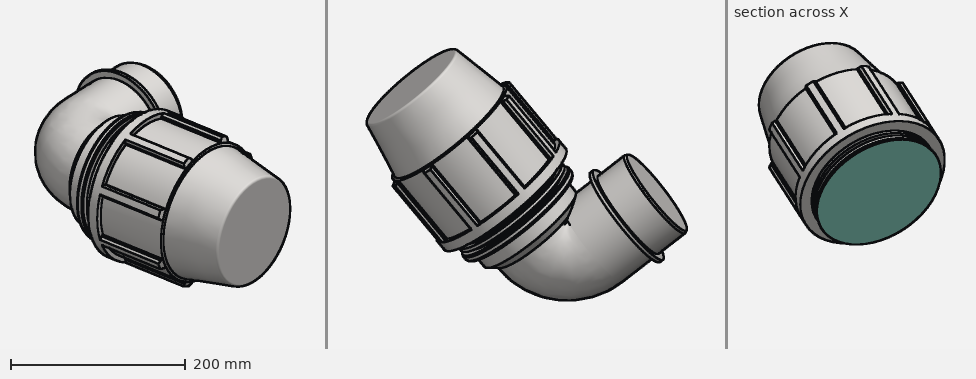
import cadquery as cq
import math

pipe_radius = 113.0 / 2
bend_radius = 45.0
pipe_end = 140.0
pipe_chamfer_depth = 1.53
pipe_chamfer_length = 3.0
pipe_ring_radius = 130.0 / 2
pipe_ring_start = 93.2
pipe_ring_width = 4.7

neck_end = 47.5
body_start = 57.5
body_radius = 135.5 / 2
lead_collar_radius = 157.5 / 2
lead_collar_start = 76.0
lead_collar_width = 9.0
lead_collar_chamfer = 2.0
lead_collar_chamfer_depth = 1.0
thread_collar_radius = 153.0 / 2
thread_collar_start = 89.0
thread_collar_width = 4.7
thread_collar_pitch = 9.0
thread_collar_count = 2

flange_radius = 181.0 / 2
flange_start = 102.7
flange_end = 116.0
nut_radius = 84.0
nut_end = 205.5
nut_end_chamfer_length = 1.0
taper_start_radius = 80.7
taper_end_radius = 66.8
nose_end = 339 - pipe_ring_radius
nose_rounding = 3.5

rib_count = 8
rib_crest_width = 9.5
rib_base_width = 14.0
rib_bevel_depth = 4.0
rib_end_slope = 3.7
rib_root_radius = nut_radius - 3.5


def cylinder_x(start, length, radius):
    return cq.Workplane("YZ", origin=(start, 0, 0)).circle(radius).extrude(length)


def cylinder_y(start, length, radius):
    return cq.Workplane("XZ", origin=(0, start, 0)).circle(radius).extrude(-length)


def make_pipe():
    """Straight socket with a lead-in chamfer and a thin stop ring."""
    shoulder = pipe_end - pipe_chamfer_length
    pipe = (
        cq.Workplane("XY")
        .moveTo(0, bend_radius)
        .lineTo(pipe_radius, bend_radius)
        .lineTo(pipe_radius, shoulder)
        .lineTo(pipe_radius - pipe_chamfer_depth, pipe_end)
        .lineTo(0, pipe_end)
        .close()
        .revolve(360, (0, 0, 0), (0, 1, 0))
    )
    return pipe.union(cylinder_y(pipe_ring_start, pipe_ring_width, pipe_ring_radius))


def make_bend():
    """Quarter turn of the pipe section, cut off at the turning axis."""
    axis_half_chord = math.sqrt(pipe_radius**2 - bend_radius**2)
    return (
        cq.Workplane("XZ", origin=(0, bend_radius, 0))
        .moveTo(bend_radius, -axis_half_chord)
        .threePointArc((-pipe_radius, 0), (bend_radius, axis_half_chord))
        .close()
        .revolve(90, (bend_radius, 0, 0), (bend_radius, 1, 0))
    )


def make_body():
    """Neck, conical shoulder and body, with one chamfered and several plain collars."""
    body = (
        cq.Workplane("XY")
        .moveTo(bend_radius, 0)
        .lineTo(bend_radius, pipe_radius)
        .lineTo(neck_end, pipe_radius)
        .lineTo(body_start, body_radius)
        .lineTo(flange_end, body_radius)
        .lineTo(flange_end, 0)
        .close()
        .revolve(360, (0, 0, 0), (1, 0, 0))
    )
    lead_collar = (
        cylinder_x(lead_collar_start, lead_collar_width, lead_collar_radius)
        .edges()
        .chamfer(lead_collar_chamfer, lead_collar_chamfer_depth)
    )
    body = body.union(lead_collar)
    for index in range(thread_collar_count):
        start = thread_collar_start + index * thread_collar_pitch
        body = body.union(cylinder_x(start, thread_collar_width, thread_collar_radius))
    return body


def make_nut():
    """Flanged cylinder that tapers to a rounded nose."""
    nut = (
        cq.Workplane("XY")
        .moveTo(flange_start, 0)
        .lineTo(flange_start, flange_radius)
        .lineTo(flange_end, flange_radius)
        .lineTo(flange_end, nut_radius)
        .lineTo(nut_end - nut_end_chamfer_length, nut_radius)
        .lineTo(nut_end, taper_start_radius)
        .lineTo(nose_end, taper_end_radius)
        .lineTo(nose_end, 0)
        .close()
        .revolve(360, (0, 0, 0), (1, 0, 0))
    )
    return nut.faces(">X").edges().fillet(nose_rounding)


def make_ribs():
    """Evenly spaced ribs with bevelled flanks, trimmed to the crest radius and sloped at the nose end."""
    envelope = (
        cq.Workplane("XY")
        .moveTo(flange_end, 0)
        .lineTo(flange_end, flange_radius)
        .lineTo(nut_end - rib_end_slope, flange_radius)
        .lineTo(nut_end, taper_start_radius)
        .lineTo(nut_end, 0)
        .close()
        .revolve(360, (0, 0, 0), (1, 0, 0))
    )
    bevel_radius = flange_radius - rib_bevel_depth
    rib = (
        cq.Workplane("YZ", origin=(flange_end, 0, 0))
        .polyline([
            (-rib_base_width / 2, rib_root_radius),
            (rib_base_width / 2, rib_root_radius),
            (rib_base_width / 2, bevel_radius),
            (rib_crest_width / 2, flange_radius),
            (-rib_crest_width / 2, flange_radius),
            (-rib_base_width / 2, bevel_radius),
        ])
        .close()
        .extrude(nut_end - flange_end)
        .intersect(envelope)
    )
    spacing = 360 / rib_count
    ribs = cq.Workplane("XY")
    for index in range(rib_count):
        ribs = ribs.add(rib.rotate((0, 0, 0), (1, 0, 0), (index + 0.5) * spacing))
    return ribs.combine()


result = make_pipe().union(make_bend()).union(make_body()).union(make_nut()).union(make_ribs())